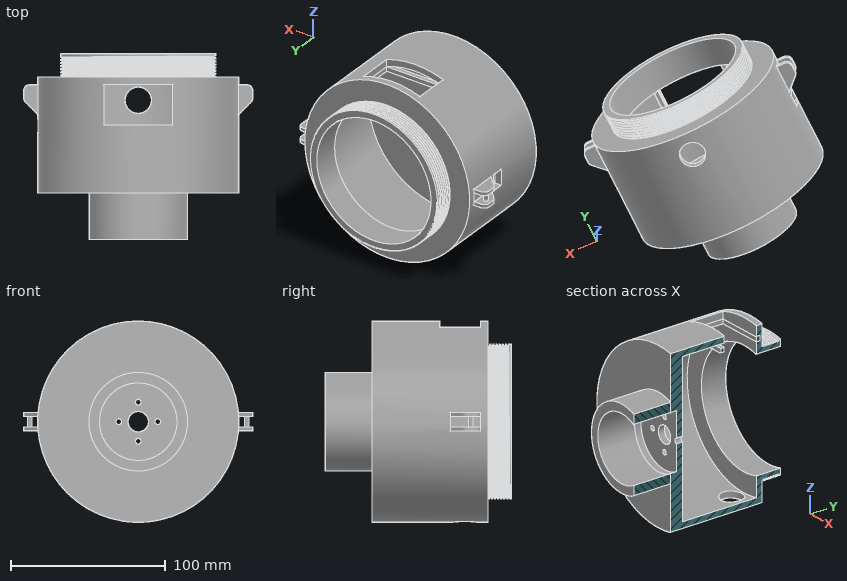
import cadquery as cq
import math

drum_radius = 65.0
drum_length = 75.0
wall = 5.0
front_wall = 2 * wall
drum_bore_radius = drum_radius - wall
cavity_back = drum_length - wall

neck_length = 15.0
neck_end = drum_length + neck_length
neck_bore_radius = 45.0
thread_radius = 50.0
thread_depth = 1.0
thread_pitch = 2.0
thread_turns = 9.5
groove_mouth = 0.84 * thread_pitch
groove_root = 0.3 * thread_pitch
groove_end_gap = thread_pitch / 2
cutter_overshoot = 0.3

tube_radius = 31.8
tube_bore_radius = 25.0
tube_length = 30.0
tube_recess = wall
center_hole_radius = 6.5
screw_hole_radius = 1.8
screw_circle_radius = 12.6
screw_count = 4

window_width = 44.4
window_length = 26.0
window_front = cavity_back - window_length
frame_top = math.sqrt(drum_bore_radius**2 - (window_width / 2) ** 2)
frame_thickness = 3.4
frame_border = 3.0

drain_radius = 8.5
drain_y = 60.0

clasp_root = drum_radius - wall / 2
clasp_reach = 74.0
clasp_height = 12.0
lug_thickness = 2.7
lug_flat = 10.0
lug_corner_radius = 4.0
web_reach = drum_radius
pin_radius = 1.5
pin_x = 70.0
pin_y = 64.0

slot_front = 39.2
slot_length = 8.7


def rod(radius, front, back):
    """Solid cylinder on the Y axis between two Y positions."""
    return cq.Workplane("XZ", origin=(0, front, 0)).circle(radius).extrude(front - back)


def block(x_range, y_range, z_range):
    """Box between the given limits."""
    corner, far_corner = zip(x_range, y_range, z_range)
    size = [far - near for near, far in zip(corner, far_corner)]
    return cq.Workplane("XY").box(*size, centered=False).translate(corner)


def centered_range(width):
    """Limits of a width that is centered on zero."""
    return (-width / 2, width / 2)


def make_thread_groove():
    """Right-handed helical groove that runs out on the -X side, just short of the neck's end."""
    length = thread_turns * thread_pitch
    helix = cq.Wire.makeHelix(thread_pitch, length, thread_radius)
    mouth_radius = thread_radius + cutter_overshoot
    root_radius = thread_radius - thread_depth
    groove = (
        cq.Workplane("XZ")
        .moveTo(mouth_radius, -groove_mouth / 2)
        .lineTo(mouth_radius, groove_mouth / 2)
        .lineTo(root_radius, groove_root / 2)
        .lineTo(root_radius, -groove_root / 2)
        .close()
        .sweep(cq.Workplane(obj=helix), isFrenet=True)
    )
    groove = groove.rotate((0, 0, 0), (1, 0, 0), -90)
    return groove.translate((0, neck_end - groove_end_gap - length, 0))


def make_neck():
    """Threaded neck, reaching through the drum's back wall."""
    return rod(thread_radius, cavity_back, neck_end).cut(make_thread_groove())


def make_mounting_holes():
    """Center hole and the ring of screw holes through the front wall."""
    return (
        cq.Workplane("XZ")
        .circle(center_hole_radius)
        .polarArray(screw_circle_radius, 0, 360, screw_count)
        .circle(screw_hole_radius)
        .extrude(-front_wall)
    )


def make_window():
    """Opening from the drum's middle up through its top."""
    return block(centered_range(window_width), (window_front, cavity_back), (0, drum_radius))


def make_frame_blank():
    """Frame plate without its opening; also the shape of its seat in the housing."""
    return block(
        centered_range(window_width + 2 * frame_border),
        (window_front - frame_border, cavity_back + frame_border),
        (frame_top - frame_thickness, frame_top),
    )


def make_drain():
    return cq.Workplane("XY").center(0, drain_y).circle(drain_radius).extrude(-drum_radius)


def make_strap_slot():
    return block(
        (-drum_radius, 0),
        (slot_front, slot_front + slot_length),
        centered_range(clasp_height),
    )


def make_housing():
    housing = rod(drum_radius, 0, drum_length).union(make_neck())
    housing = housing.cut(rod(drum_bore_radius, front_wall, cavity_back))
    housing = housing.cut(rod(neck_bore_radius, cavity_back, neck_end))
    housing = housing.cut(rod(tube_bore_radius, 0, tube_recess))
    housing = housing.cut(make_mounting_holes())
    housing = housing.cut(make_window())
    housing = housing.cut(make_frame_blank())
    housing = housing.cut(make_drain())
    housing = housing.cut(make_strap_slot())
    for seat in on_both_sides(make_clasp_blank()):
        housing = housing.cut(seat)
    return housing


def make_tube():
    return rod(tube_radius, -tube_length, 0).cut(rod(tube_bore_radius, -tube_length, 0))


def make_window_frame():
    return make_frame_blank().cut(make_window())


def make_clasp_blank():
    """Clasp on the +X side before the gap is cut; its root also shapes the seat in the drum."""
    flat_front = cavity_back - lug_flat
    return (
        cq.Workplane("XY", origin=(0, 0, -clasp_height / 2))
        .moveTo(clasp_root, cavity_back)
        .lineTo(clasp_reach, cavity_back)
        .lineTo(clasp_reach, flat_front)
        .lineTo(clasp_root, flat_front - (clasp_reach - clasp_root))
        .close()
        .extrude(clasp_height)
        .edges("|Z and >X")
        .fillet(lug_corner_radius)
    )


def make_clasp():
    """Clasp on the +X side: two lugs joined by a web at the drum and by a pin."""
    gap_height = clasp_height - 2 * lug_thickness
    gap = block((web_reach, clasp_reach), (0, drum_length), centered_range(gap_height))
    pin = (
        cq.Workplane("XY", origin=(pin_x, pin_y, -clasp_height / 2))
        .circle(pin_radius)
        .extrude(clasp_height)
    )
    return make_clasp_blank().cut(gap).union(pin)


def on_both_sides(body):
    """A +X body and its copy at -X, half a turn about Y away."""
    return [body.rotate((0, 0, 0), (0, 1, 0), turn) for turn in (0, 180)]


housing = make_housing()
tube = make_tube()
window_frame = make_window_frame()
clasps = on_both_sides(make_clasp())

result = cq.Compound.makeCompound(
    [housing.val(), tube.val(), window_frame.val(), *[clasp.val() for clasp in clasps]]
)